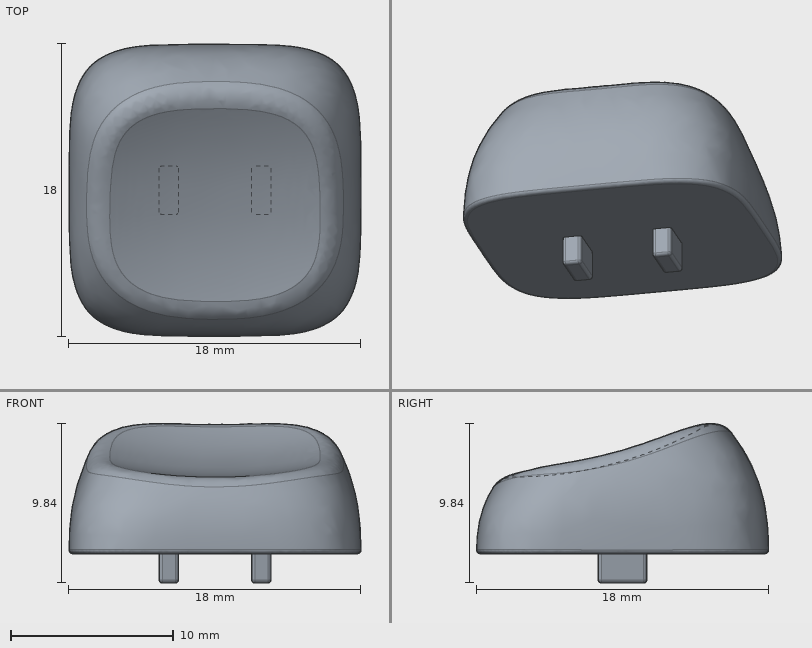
import cadquery as cq
import math

base_half_width = 9.0
front_height = 5.6
back_height = 10.2
front_inset = 2.25
back_inset = 5.0
side_inset = 2.7
inset_power = 2.5
base_squareness = 4.35
top_squareness = 2.8
section_levels = (0, 0.15, 0.3, 0.55, 0.8, 1)
points_per_section = 32

dish_center_y = -0.55
dish_center_z = 5.54
dish_tilt = 15.0
dish_radius_across = 32.0
dish_radius_along = 24.0
dish_half_width = 12.0

rim_radius = 1.3
base_edge_radius = 0.25

leg_spacing = 5.7
leg_width = 1.2
leg_length = 3.0
leg_drop = 1.8
leg_root = 1.0
leg_edge_radius = 0.2


def body_section(level):
    """Closed superellipse at a fraction of the full body height, in its own tilted plane."""
    lean = level**inset_power
    half_width = base_half_width - side_inset * lean
    front_y = -base_half_width + front_inset * lean
    back_y = base_half_width - back_inset * lean
    front_z = front_height * level
    back_z = back_height * level
    squareness = base_squareness + (top_squareness - base_squareness) * level
    points = []
    for index in range(points_per_section):
        angle = 2 * math.pi * index / points_per_section
        cosine = math.cos(angle)
        sine = math.sin(angle)
        reach = (abs(cosine) ** squareness + abs(sine) ** squareness) ** (-1 / squareness)
        across = reach * cosine
        along = reach * sine
        share = (1 + along) / 2
        y = front_y + (back_y - front_y) * share
        z = front_z + (back_z - front_z) * share
        points.append(cq.Vector(half_width * across, y, z))
    return cq.Wire.assembleEdges([cq.Edge.makeSpline(points, periodic=True)])


def make_body():
    sections = [body_section(level) for level in section_levels]
    return cq.Workplane(cq.Solid.makeLoft(sections))


def make_dish_cutter():
    """Barrel whose lowest point is the dish centre; the revolve axis lies above it."""
    rise = dish_radius_across - math.sqrt(dish_radius_across**2 - dish_half_width**2)
    barrel = (
        cq.Workplane("XZ")
        .moveTo(-dish_half_width, rise)
        .threePointArc((0, 0), (dish_half_width, rise))
        .lineTo(dish_half_width, dish_radius_along)
        .lineTo(-dish_half_width, dish_radius_along)
        .close()
        .revolve(360, (-1, dish_radius_along), (1, dish_radius_along))
    )
    tilted = barrel.rotate((0, 0, 0), (1, 0, 0), dish_tilt)
    return tilted.translate((0, dish_center_y, dish_center_z))


def make_leg(center_x):
    leg_height = leg_drop + leg_root
    return (
        cq.Workplane("XY")
        .box(leg_width, leg_length, leg_height, centered=(True, True, False))
        .edges("|Z or <Z")
        .fillet(leg_edge_radius)
        .translate((center_x, 0, -leg_drop))
    )


cap = make_body().cut(make_dish_cutter())
cap = cap.faces("<Z").edges().fillet(base_edge_radius)
cap = cap.faces(">Z").edges().fillet(rim_radius)
result = cap
for side in (-1, 1):
    result = result.union(make_leg(side * leg_spacing / 2))